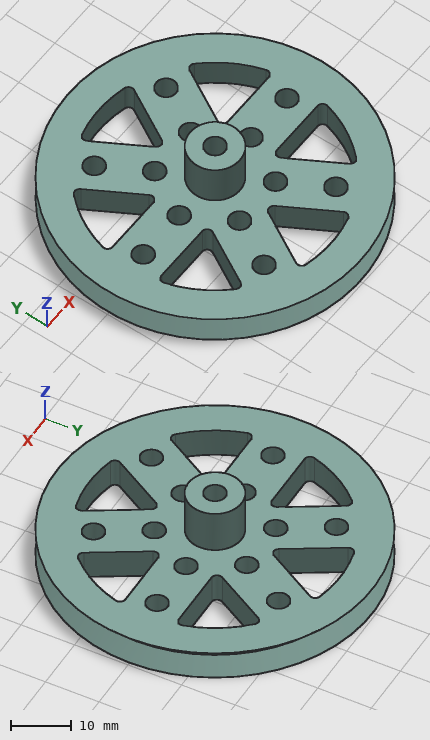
import cadquery as cq
import math

rim_radius = 29.5
rim_thickness = 5.55
groove_depth = 2.5

hub_diameter = 10.0
total_height = 13.75

spoke_count = 6
hole_diameter = 3.9
hole_spacing = hub_diameter

spoke_width = hub_diameter
window_outer_radius = 23.5
window_corner_radius = 1.0


def grooved_disc():
    """Disc revolved about Z, with the groove bottom at mid thickness."""
    profile = [
        (0, 0),
        (rim_radius, 0),
        (rim_radius - groove_depth, rim_thickness / 2),
        (rim_radius, rim_thickness),
        (0, rim_thickness),
    ]
    return cq.Workplane("XZ").polyline(profile).close().revolve(360, (0, 0), (0, 1))


def polar(radius, angle):
    return (radius * math.cos(angle), radius * math.sin(angle))


def window():
    """Sector between two spokes, centred on the +X axis, with rounded corners."""
    half_sector = math.pi / spoke_count
    half_spoke = spoke_width / 2
    inner_corner = (half_spoke / math.sin(half_sector), 0)
    corner_angle = half_sector - math.asin(half_spoke / window_outer_radius)
    return (
        cq.Workplane("XY")
        .moveTo(*inner_corner)
        .lineTo(*polar(window_outer_radius, -corner_angle))
        .threePointArc((window_outer_radius, 0), polar(window_outer_radius, corner_angle))
        .close()
        .extrude(rim_thickness)
        .edges("|Z")
        .fillet(window_corner_radius)
    )


hub = cq.Workplane("XY").circle(hub_diameter / 2).extrude(total_height)
result = grooved_disc().union(hub)

spoke_step = 360 / spoke_count
for index in range(spoke_count):
    window_angle = (index + 0.5) * spoke_step
    result = result.cut(window().rotate((0, 0, 0), (0, 0, 1), window_angle))

hole_centres = [(0, 0)]
for index in range(spoke_count):
    spoke_angle = math.radians(index * spoke_step)
    hole_centres.append(polar(hole_spacing, spoke_angle))
    hole_centres.append(polar(2 * hole_spacing, spoke_angle))

holes = cq.Workplane("XY").pushPoints(hole_centres).circle(hole_diameter / 2).extrude(total_height)
result = result.cut(holes)